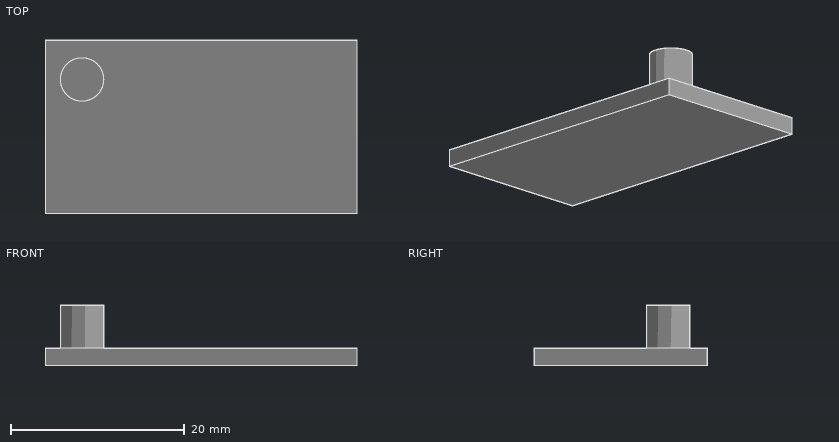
import cadquery as cq

plate_length = 36.0
plate_width = 20.0
plate_thickness = 2.0

overall_height = 7.0
pin_diameter = 5.0
pin_from_left_edge = 4.25
pin_from_rear_edge = 4.55

pin_height = overall_height - plate_thickness
pin_x = pin_from_left_edge - plate_length / 2
pin_y = plate_width / 2 - pin_from_rear_edge

plate = cq.Workplane("XY").box(
    plate_length, plate_width, plate_thickness, centered=(True, True, False)
)

pin = (
    cq.Workplane("XY", origin=(pin_x, pin_y, plate_thickness))
    .circle(pin_diameter / 2)
    .extrude(pin_height)
)

result = plate.union(pin)